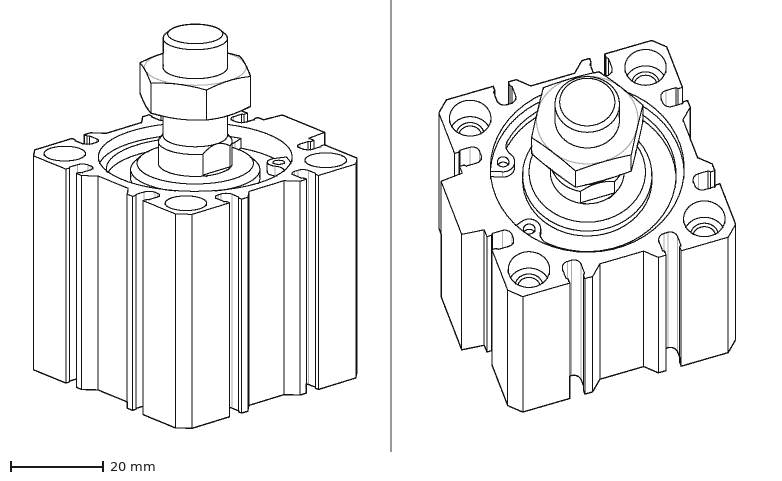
import cadquery as cq
import math


TOTAL_HEIGHT = 78.0
HOUSING_HEIGHT = 49.5
HOUSING_WIDTH = 52.0
OVERALL_DEPTH = 57.0
HALF_WIDTH = HOUSING_WIDTH / 2

CORNER_CHAMFER = 2.6
RECESS_HALF_WIDTH = 7.5
RECESS_DEPTH = 2.5
PORT_BLOCK_HEIGHT = OVERALL_DEPTH - HOUSING_WIDTH
PORT_BLOCK_TIP_HALF_WIDTH = 7.0

SLOT_OFFSET = 11.0
SLOT_MOUTH_WIDTH = 3.4
SLOT_MOUTH_DEPTH = 1.0
SLOT_WIDTH = 4.2
SLOT_DEPTH = 5.3
SLOT_CORNER_RADIUS = 1.6

BOLT_SPACING = 40.0
COUNTERBORE_DIAMETER = 9.0
COUNTERBORE_DEPTH = 7.0
THREAD_DIAMETER = 4.9
THREAD_CHAMFER = 0.55
THREAD_DEPTH = 10.0
DRILL_TIP_ANGLE = 118.0
PILOT_DIAMETER = 2.0

BORE_DIAMETER = 42.0
BORE_DEPTH = 5.0
COLLAR_DIAMETER = 28.0
COLLAR_SINK = 1.5
COLLAR_CHAMFER = 1.4

RING_INNER_DIAMETER = 38.45
RING_SINK = 2.7
LUG_CENTRE_RADIUS = 18.5
LUG_ANGLE = 28.7
LUG_RADIUS = 2.5
LUG_HOLE_DIAMETER = 2.5
LUG_FILLET_RADIUS = 2.7

ROD_DIAMETER = 16.0
ROD_FLATS_WIDTH = 14.0
ROD_FLATS_RISE = 0.2
ROD_INSERTION = 16.0
STUD_DIAMETER = 14.0
STUD_LENGTH = 23.5
STUD_TIP_CHAMFER = 1.0
SHOULDER_CHAMFER_HEIGHT = 1.4

NUT_ACROSS_FLATS = 22.0
NUT_THICKNESS = 8.0
NUT_BASE_Z = 62.25
NUT_CHAMFER_HEIGHT = 0.55

COLLAR_TOP_Z = HOUSING_HEIGHT - COLLAR_SINK
COVER_FACE_Z = HOUSING_HEIGHT - BORE_DEPTH
RING_TOP_Z = HOUSING_HEIGHT - RING_SINK
RING_THICKNESS = RING_TOP_Z - COVER_FACE_Z
ROD_BASE_Z = COLLAR_TOP_Z - ROD_INSERTION


def cylinder(diameter, height, base_z, x=0.0, y=0.0):
    return cq.Workplane("XY", origin=(x, y, base_z)).circle(diameter / 2).extrude(height)


def revolved(profile):
    """Turn a list of (radius, z) points around the Z axis."""
    return cq.Workplane("XZ").polyline(profile).close().revolve(360, (0, 0), (0, 1))


def polar_point(radius, angle):
    """Point at an angle in degrees, measured from +Y towards +X."""
    return (radius * math.sin(math.radians(angle)), radius * math.cos(math.radians(angle)))



def slot_cutter(x):
    """Undercut slot in the -Y side, centred on x, along the full height."""
    mouth_half_width = SLOT_MOUTH_WIDTH / 2
    half_width = SLOT_WIDTH / 2
    taper_depth = half_width - mouth_half_width
    return (
        cq.Workplane("XY", origin=(x, -HALF_WIDTH, 0))
        .polyline([
            (-mouth_half_width, 0),
            (-mouth_half_width, SLOT_MOUTH_DEPTH),
            (-half_width, SLOT_MOUTH_DEPTH + taper_depth),
            (-half_width, SLOT_DEPTH),
            (half_width, SLOT_DEPTH),
            (half_width, SLOT_MOUTH_DEPTH + taper_depth),
            (mouth_half_width, SLOT_MOUTH_DEPTH),
            (mouth_half_width, 0),
        ])
        .close()
        .extrude(HOUSING_HEIGHT)
        .edges("|Z and >Y")
        .fillet(SLOT_CORNER_RADIUS)
    )


def recess_cutter():
    """Shallow recess, narrower at its floor, in the middle of the -Y side."""
    floor_half_width = RECESS_HALF_WIDTH - RECESS_DEPTH
    floor_y = -HALF_WIDTH + RECESS_DEPTH
    return (
        cq.Workplane("XY")
        .moveTo(-RECESS_HALF_WIDTH, -HALF_WIDTH)
        .lineTo(-floor_half_width, floor_y)
        .lineTo(floor_half_width, floor_y)
        .lineTo(RECESS_HALF_WIDTH, -HALF_WIDTH)
        .close()
        .extrude(HOUSING_HEIGHT)
    )


def port_block():
    """Tapered block along the middle of the +Y side."""
    tip_y = HALF_WIDTH + PORT_BLOCK_HEIGHT
    return (
        cq.Workplane("XY")
        .moveTo(-RECESS_HALF_WIDTH, 0)
        .lineTo(-RECESS_HALF_WIDTH, HALF_WIDTH)
        .lineTo(-PORT_BLOCK_TIP_HALF_WIDTH, tip_y)
        .lineTo(PORT_BLOCK_TIP_HALF_WIDTH, tip_y)
        .lineTo(RECESS_HALF_WIDTH, HALF_WIDTH)
        .lineTo(RECESS_HALF_WIDTH, 0)
        .close()
        .extrude(HOUSING_HEIGHT)
    )


def mounting_hole_cutter():
    """Counterbore, chamfered thread hole with a drill tip, and a pilot hole through the base."""
    pilot_radius = PILOT_DIAMETER / 2
    thread_radius = THREAD_DIAMETER / 2
    counterbore_radius = COUNTERBORE_DIAMETER / 2
    counterbore_z = HOUSING_HEIGHT - COUNTERBORE_DEPTH
    thread_end_z = counterbore_z - THREAD_DEPTH
    tip_height = (thread_radius - pilot_radius) / math.tan(math.radians(DRILL_TIP_ANGLE / 2))
    return revolved([
        (0, 0),
        (pilot_radius, 0),
        (pilot_radius, thread_end_z - tip_height),
        (thread_radius, thread_end_z),
        (thread_radius, counterbore_z - THREAD_CHAMFER),
        (thread_radius + THREAD_CHAMFER, counterbore_z),
        (counterbore_radius, counterbore_z),
        (counterbore_radius, HOUSING_HEIGHT),
        (0, HOUSING_HEIGHT),
    ])


def collar():
    """Chamfered boss of the rod cover, standing in the bore."""
    boss = cylinder(COLLAR_DIAMETER, COLLAR_TOP_Z - COVER_FACE_Z, COVER_FACE_Z)
    return boss.faces(">Z").chamfer(COLLAR_CHAMFER)


def ring_lug():
    """Lug of the retaining ring on the +X side of the gap, and the web that joins it to the ring."""
    lug_centre = polar_point(LUG_CENTRE_RADIUS, LUG_ANGLE)

    fillet_centre_radius = RING_INNER_DIAMETER / 2 - LUG_FILLET_RADIUS
    centre_distance = LUG_RADIUS + LUG_FILLET_RADIUS
    cosine = (
        (LUG_CENTRE_RADIUS**2 + fillet_centre_radius**2 - centre_distance**2)
        / (2 * LUG_CENTRE_RADIUS * fillet_centre_radius)
    )
    fillet_angle = LUG_ANGLE + math.degrees(math.acos(cosine))
    fillet_centre = polar_point(fillet_centre_radius, fillet_angle)

    side_angle = LUG_ANGLE - math.degrees(math.asin(LUG_RADIUS / LUG_CENTRE_RADIUS))
    side_start_radius = math.sqrt(LUG_CENTRE_RADIUS**2 - LUG_RADIUS**2)
    web = (
        cq.Workplane("XY", origin=(0, 0, COVER_FACE_Z))
        .polyline([
            lug_centre,
            polar_point(side_start_radius, side_angle),
            polar_point(BORE_DIAMETER, side_angle),
            polar_point(BORE_DIAMETER, fillet_angle),
            fillet_centre,
        ])
        .close()
        .extrude(RING_THICKNESS)
        .cut(cylinder(2 * LUG_FILLET_RADIUS, RING_THICKNESS, COVER_FACE_Z, *fillet_centre))
    )
    lug = cylinder(2 * LUG_RADIUS, RING_THICKNESS, COVER_FACE_Z, *lug_centre).union(web)
    lug = lug.intersect(cylinder(BORE_DIAMETER, RING_THICKNESS, COVER_FACE_Z))
    return lug, lug_centre, side_angle


def retaining_ring():
    """Open ring that fills the rim of the bore, with a drilled lug at each end."""
    lug, lug_centre, gap_angle = ring_lug()
    gap = (
        cq.Workplane("XY", origin=(0, 0, COVER_FACE_Z))
        .polyline([
            (0, 0),
            polar_point(BORE_DIAMETER, -gap_angle),
            polar_point(BORE_DIAMETER, gap_angle),
        ])
        .close()
        .extrude(RING_THICKNESS)
    )
    ring = (
        cylinder(BORE_DIAMETER, RING_THICKNESS, COVER_FACE_Z)
        .cut(cylinder(RING_INNER_DIAMETER, RING_THICKNESS, COVER_FACE_Z))
        .cut(gap)
        .union(lug)
        .union(lug.mirror("YZ"))
    )
    lug_x, lug_y = lug_centre
    for x in (-lug_x, lug_x):
        ring = ring.cut(cylinder(LUG_HOLE_DIAMETER, RING_THICKNESS, COVER_FACE_Z, x, lug_y))
    return ring


def make_housing():
    body = (
        cq.Workplane("XY")
        .rect(HOUSING_WIDTH, HOUSING_WIDTH)
        .extrude(HOUSING_HEIGHT)
        .edges("|Z")
        .chamfer(CORNER_CHAMFER)
        .union(port_block())
    )
    slots = slot_cutter(-SLOT_OFFSET).union(slot_cutter(SLOT_OFFSET))
    for angle in (0, 90, 180, 270):
        body = body.cut(slots.rotate((0, 0, 0), (0, 0, 1), angle))
    for angle in (-90, 0, 90):
        body = body.cut(recess_cutter().rotate((0, 0, 0), (0, 0, 1), angle))
    for x in (-BOLT_SPACING / 2, BOLT_SPACING / 2):
        for y in (-BOLT_SPACING / 2, BOLT_SPACING / 2):
            body = body.cut(mounting_hole_cutter().translate((x, y, 0)))
    return (
        body.cut(cylinder(BORE_DIAMETER, BORE_DEPTH, COVER_FACE_Z))
        .union(retaining_ring())
        .union(collar())
        .cut(cylinder(ROD_DIAMETER, ROD_INSERTION, ROD_BASE_Z))
    )



def rod_flat_cutter():
    """Cutter for the flat on the +X side; the lower end of the flat runs out at 45 degrees."""
    flat_x = ROD_FLATS_WIDTH / 2
    outer_x = ROD_DIAMETER / 2
    flat_base_z = COLLAR_TOP_Z + ROD_FLATS_RISE
    return (
        cq.Workplane("XZ")
        .polyline([
            (flat_x, flat_base_z),
            (flat_x, TOTAL_HEIGHT),
            (outer_x, TOTAL_HEIGHT),
            (outer_x, flat_base_z - (outer_x - flat_x)),
        ])
        .close()
        .extrude(outer_x, both=True)
    )


def make_rod():
    """Round rod with two wrench flats at the collar and a plain stud at its end."""
    rod_radius = ROD_DIAMETER / 2
    stud_radius = STUD_DIAMETER / 2
    stud_base_z = TOTAL_HEIGHT - STUD_LENGTH
    turned_rod = revolved([
        (0, ROD_BASE_Z),
        (rod_radius, ROD_BASE_Z),
        (rod_radius, stud_base_z - SHOULDER_CHAMFER_HEIGHT),
        (stud_radius, stud_base_z),
        (stud_radius, TOTAL_HEIGHT - STUD_TIP_CHAMFER),
        (stud_radius - STUD_TIP_CHAMFER, TOTAL_HEIGHT),
        (0, TOTAL_HEIGHT),
    ])
    flat = rod_flat_cutter()
    return turned_rod.cut(flat).cut(flat.mirror("YZ"))



def make_nut():
    """Hexagon nut with corners towards +Y and -Y, both ends turned to a shallow cone."""
    corner_radius = NUT_ACROSS_FLATS / math.sqrt(3)
    flat_radius = NUT_ACROSS_FLATS / 2
    nut_top_z = NUT_BASE_Z + NUT_THICKNESS
    hexagon = (
        cq.Workplane("XY", origin=(0, 0, NUT_BASE_Z))
        .polygon(6, 2 * corner_radius)
        .extrude(NUT_THICKNESS)
        .rotate((0, 0, 0), (0, 0, 1), 90)
    )
    turned_blank = revolved([
        (0, NUT_BASE_Z),
        (flat_radius, NUT_BASE_Z),
        (corner_radius, NUT_BASE_Z + NUT_CHAMFER_HEIGHT),
        (corner_radius, nut_top_z - NUT_CHAMFER_HEIGHT),
        (flat_radius, nut_top_z),
        (0, nut_top_z),
    ])
    bore = cylinder(STUD_DIAMETER, NUT_THICKNESS, NUT_BASE_Z)
    return hexagon.intersect(turned_blank).cut(bore)


housing = make_housing()
rod = make_rod()
nut = make_nut()
result = cq.Compound.makeCompound([housing.val(), rod.val(), nut.val()])